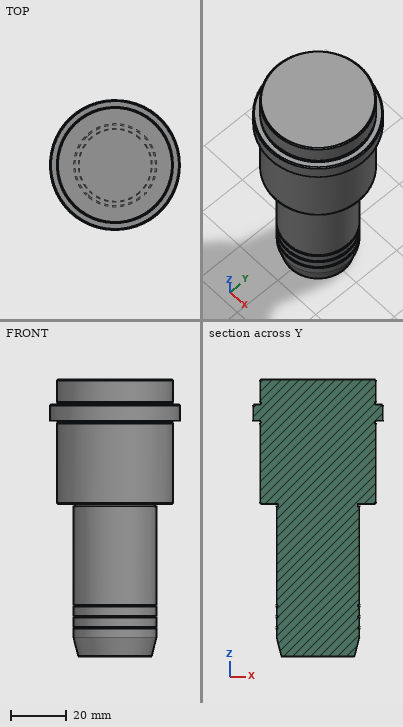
import cadquery as cq

total_height = 100.0
head_radius = 21.0
head_bottom = 55.0
edge_chamfer = 0.5

collar_radius = 23.5
collar_bottom = 85.0
collar_height = 6.0
collar_top = collar_bottom + collar_height
collar_groove_width = 1.0
collar_groove_depth = 0.5

stem_radius = 15.0
relief_height = 0.8
relief_depth = 0.5
taper_height = 7.0
tip_radius = 13.3
tip_chamfer = 0.3

groove_count = 3
groove_width = 0.8
groove_depth = 0.5
groove_pitch = 4.0
first_groove_bottom = 10.0


def v_groove(radius, bottom, width, depth):
    """Profile points of a V groove in a cylinder, from its lower to its upper edge."""
    return [
        (radius, bottom),
        (radius - depth, bottom + width / 2),
        (radius, bottom + width),
    ]


def stem_profile():
    points = [
        (0, 0),
        (tip_radius - tip_chamfer, 0),
        (tip_radius, tip_chamfer),
        (stem_radius, taper_height),
    ]
    for index in range(groove_count):
        groove_bottom = first_groove_bottom + index * groove_pitch
        points += v_groove(stem_radius, groove_bottom, groove_width, groove_depth)
    points += [
        (stem_radius, head_bottom - relief_height),
        (stem_radius - relief_depth, head_bottom - relief_height),
        (stem_radius - relief_depth, head_bottom),
    ]
    return points


def head_profile():
    lower_groove_bottom = collar_bottom - collar_groove_width
    points = [
        (head_radius - edge_chamfer, head_bottom),
        (head_radius, head_bottom + edge_chamfer),
    ]
    points += v_groove(head_radius, lower_groove_bottom, collar_groove_width, collar_groove_depth)
    points += [
        (collar_radius, collar_bottom),
        (collar_radius, collar_top - edge_chamfer),
        (collar_radius - edge_chamfer, collar_top),
    ]
    points += v_groove(head_radius, collar_top, collar_groove_width, collar_groove_depth)
    points += [
        (head_radius, total_height - edge_chamfer),
        (head_radius - edge_chamfer, total_height),
        (0, total_height),
    ]
    return points


result = (
    cq.Workplane("XZ")
    .polyline(stem_profile() + head_profile())
    .close()
    .revolve(360, (0, 0, 0), (0, 1, 0))
)